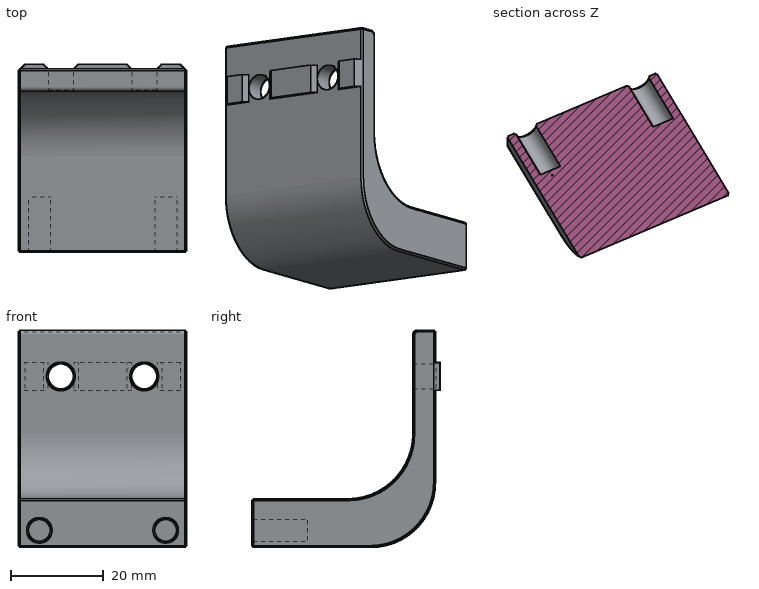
import cadquery as cq

width = 36.26
overall_depth = 40.62
height = 46.9
pad_height = 1.0
wall_thickness = 4.9
foot_thickness = 10.5
bend_radius = 14.0
top_front_radius = 1.0
edge_chamfer = 0.4

back_y = overall_depth - pad_height
wall_front_y = back_y - wall_thickness

wall_hole_diameter = 5.4
wall_hole_spacing = 18.0
wall_hole_z = height - 10.0

foot_hole_diameter = 4.7
foot_hole_side_distance = 4.5
foot_hole_spacing = width - 2 * foot_hole_side_distance
foot_hole_z = 3.7
foot_hole_depth = 12.0

hole_chamfer = 0.4

pad_length_z = 6.0
pad_gap = 5.6
pad_slope_run = pad_height
pad_embed = 0.5


def round_edge(body, y, z, radius):
    """Fillet the edge along X that passes through (y, z)."""
    nearest = cq.selectors.NearestToPointSelector((0, y, z))
    return body.edges("|X").edges(nearest).fillet(radius)


def make_body():
    """L-shaped body with a rounded bend and broken outer edges."""
    profile = (
        cq.Workplane("YZ")
        .moveTo(0, 0)
        .lineTo(back_y, 0)
        .lineTo(back_y, height)
        .lineTo(wall_front_y, height)
        .lineTo(wall_front_y, foot_thickness)
        .lineTo(0, foot_thickness)
        .close()
    )
    body = profile.extrude(width / 2, both=True)
    body = round_edge(body, wall_front_y, foot_thickness, bend_radius)
    body = round_edge(body, back_y, 0, bend_radius)
    body = round_edge(body, wall_front_y, height, top_front_radius)
    sharp_edges = body.faces("<X or >X").edges()
    sharp_edges = sharp_edges.add(body.faces("<Y").edges("|X"))
    sharp_edges = sharp_edges.add(body.faces(">Z").edges(">Y"))
    return sharp_edges.chamfer(edge_chamfer)


def make_hole(x, y, z, diameter, depth):
    """Cutter along +Y starting at a front face, with a chamfered mouth."""
    radius = diameter / 2
    bore = cq.Solid.makeCylinder(radius, depth, cq.Vector(x, y, z), cq.Vector(0, 1, 0))
    mouth = cq.Solid.makeCone(
        radius + hole_chamfer, radius, hole_chamfer, cq.Vector(x, y, z), cq.Vector(0, 1, 0)
    )
    return cq.Workplane(bore).union(cq.Workplane(mouth))


def make_pad(x_start, x_end):
    """Trapezoidal pad on the back face; x_start and x_end bound its foot."""
    pad_bottom_z = wall_hole_z - pad_length_z / 2
    return (
        cq.Workplane("XY")
        .workplane(offset=pad_bottom_z)
        .moveTo(x_start, back_y - pad_embed)
        .lineTo(x_end, back_y - pad_embed)
        .lineTo(x_end, back_y)
        .lineTo(x_end - pad_slope_run, overall_depth)
        .lineTo(x_start + pad_slope_run, overall_depth)
        .lineTo(x_start, back_y)
        .close()
        .extrude(pad_length_z)
    )


result = make_body()

middle_pad_end = (wall_hole_spacing - pad_gap) / 2
outer_pad_start = middle_pad_end + pad_gap
outer_pad_end = width / 2 - edge_chamfer
result = result.union(make_pad(-middle_pad_end, middle_pad_end))
result = result.union(make_pad(outer_pad_start, outer_pad_end))
result = result.union(make_pad(-outer_pad_end, -outer_pad_start))

for side in (-1, 1):
    wall_hole_x = side * wall_hole_spacing / 2
    foot_hole_x = side * foot_hole_spacing / 2
    result = result.cut(
        make_hole(wall_hole_x, wall_front_y, wall_hole_z, wall_hole_diameter, wall_thickness)
    )
    result = result.cut(make_hole(foot_hole_x, 0, foot_hole_z, foot_hole_diameter, foot_hole_depth))